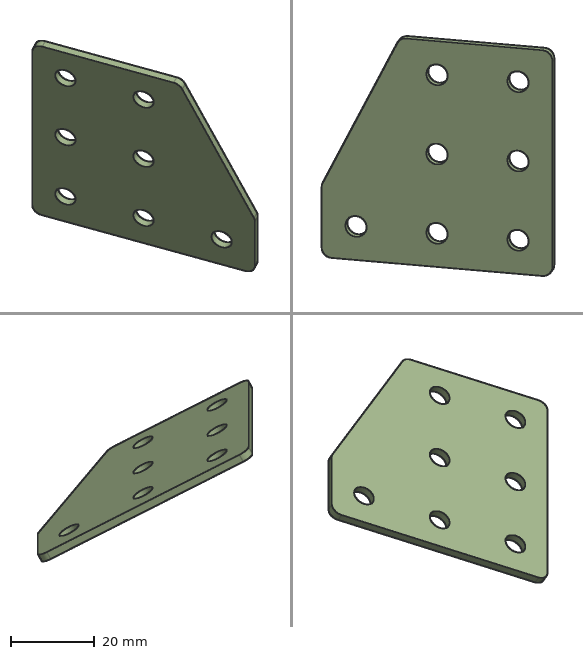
import cadquery as cq

side = 57.0
thickness = 2.0
corner_radius = 2.5

slant_top_x = 37.7
slant_right_z = 18.3

hole_diameter = 5.2
hole_pitch = 20.0
hole_margin = 8.5
holes_per_row = (3, 2, 2)


def make_plate():
    """Square plate with its upper right corner cut off and all corners rounded."""
    outline = [
        (0, 0),
        (side, 0),
        (side, slant_right_z),
        (slant_top_x, side),
        (0, side),
    ]
    plate = cq.Workplane("XZ").polyline(outline).close().extrude(-thickness)
    return plate.edges("|Y").fillet(corner_radius)


def make_holes():
    """Cylinders through the full thickness at every hole position."""
    centers = []
    for row, count in enumerate(holes_per_row):
        for column in range(count):
            x = hole_margin + column * hole_pitch
            z = hole_margin + row * hole_pitch
            centers.append((x, z))
    return cq.Workplane("XZ").pushPoints(centers).circle(hole_diameter / 2).extrude(-thickness)


result = make_plate().cut(make_holes())